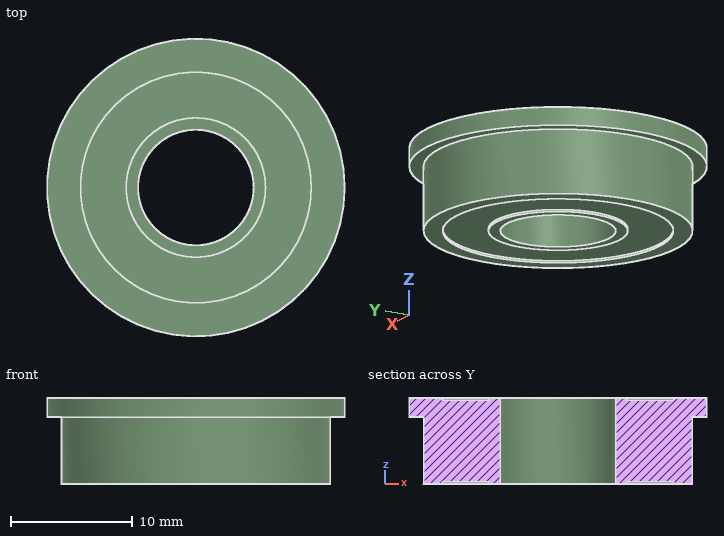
import cadquery as cq

bore_diameter = 9.525
inner_ring_diameter = 11.506
shield_diameter = 19.05
body_diameter = 22.225
flange_diameter = 24.587
width = 7.112
flange_thickness = 1.575
shield_recess = 0.178


def cylinder(diameter, height, base_z):
    return cq.Workplane("XY").workplane(offset=base_z).circle(diameter / 2).extrude(height)


def shield_groove(base_z):
    """Shallow ring between the inner and outer rings, where the shield sits below their faces."""
    ring = cylinder(shield_diameter, shield_recess, base_z)
    return ring.cut(cylinder(inner_ring_diameter, shield_recess, base_z))


def bearing():
    body = cylinder(body_diameter, width, 0)
    flange = cylinder(flange_diameter, flange_thickness, width - flange_thickness)
    solid = body.union(flange).cut(cylinder(bore_diameter, width, 0))
    for groove_base in (0, width - shield_recess):
        solid = solid.cut(shield_groove(groove_base))
    return solid


result = bearing()